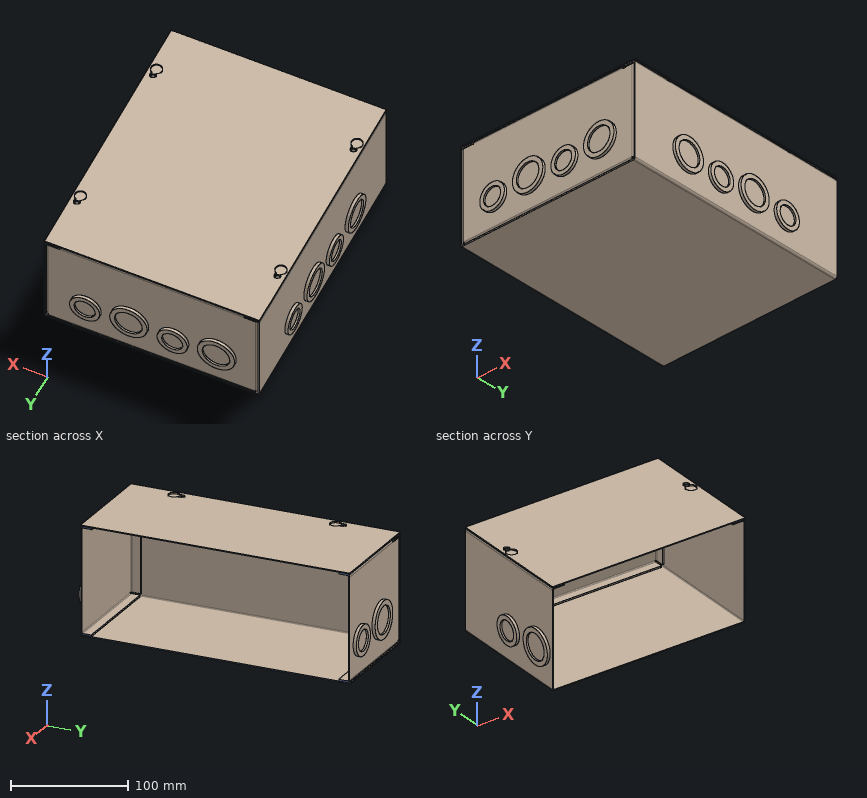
import cadquery as cq

BOX_WIDTH = 203.3
BOX_LENGTH = 254.0
SHEET = 1.5
COVER_THICKNESS = 1.3
WRAPPER_HEIGHT = 101.6
CUT_MARGIN = 2.5

WRAPPER_BEND = 2.2
TOP_FLANGE = 13.0

PANEL_BEND = 2.3
PANEL_FLANGE = 10.5
NOTCH_GAP = 1.5
NOTCH_DEPTH = 2.5

OVERALL_LENGTH = 260.0
KNOCKOUT_HEIGHT = (OVERALL_LENGTH - BOX_LENGTH) / 2
KNOCKOUT_RECESS = 1.8
KNOCKOUT_PITCH = 41.3
SMALL_OUTER_RADIUS = 14.3
SMALL_INNER_RADIUS = 10.0
LARGE_OUTER_RADIUS = 17.7
LARGE_INNER_RADIUS = 13.0
SIDE_KNOCKOUT_BASE = 17.7
END_KNOCKOUT_BASE = 19.2

FIXING_INSET = 7.0
FIXING_X = BOX_WIDTH / 2 - FIXING_INSET
FIXING_Y = 76.2
SCREW_HOLE_RADIUS = 2.0
KEYHOLE_SLOT_RADIUS = 2.9
KEYHOLE_HEAD_RADIUS = 5.2
KEYHOLE_OFFSET = 7.0

FIXING_POINTS = [(x, y) for x in (-FIXING_X, FIXING_X) for y in (-FIXING_Y, FIXING_Y)]


def make_knockouts(face, base_height):
    """Discs in the order small, large, small, large along the face's local X; local Y is up."""
    sizes = [(SMALL_OUTER_RADIUS, SMALL_INNER_RADIUS), (LARGE_OUTER_RADIUS, LARGE_INNER_RADIUS)] * 2
    middle = (len(sizes) - 1) / 2
    knockouts = cq.Workplane(face)
    for index, (outer_radius, inner_radius) in enumerate(sizes):
        spot = cq.Workplane(face).center((index - middle) * KNOCKOUT_PITCH, base_height + outer_radius)
        disc = spot.circle(outer_radius).extrude(KNOCKOUT_HEIGHT)
        recess = (
            spot.workplane(offset=KNOCKOUT_HEIGHT - KNOCKOUT_RECESS)
            .circle(inner_radius)
            .extrude(KNOCKOUT_RECESS)
        )
        knockouts = knockouts.add(disc.cut(recess))
    return knockouts.combine()


def centred_block(width, height, base_height):
    """Block over the whole box length, standing on base_height."""
    return (
        cq.Workplane("XY", origin=(0, 0, base_height))
        .box(width, BOX_LENGTH, height, centered=(True, True, False))
    )


def make_wrapper():
    inner_bend = WRAPPER_BEND - SHEET
    outside = centred_block(BOX_WIDTH, WRAPPER_HEIGHT, 0).edges("|Y").fillet(WRAPPER_BEND)
    inside = (
        centred_block(BOX_WIDTH - 2 * SHEET, WRAPPER_HEIGHT - 2 * SHEET, SHEET)
        .edges("|Y")
        .fillet(inner_bend)
    )
    opening = centred_block(BOX_WIDTH - 2 * TOP_FLANGE, WRAPPER_HEIGHT, WRAPPER_HEIGHT / 2)
    wrapper = outside.cut(inside).cut(opening)

    screw_holes = (
        cq.Workplane("XY", origin=(0, 0, WRAPPER_HEIGHT - SHEET - CUT_MARGIN))
        .pushPoints(FIXING_POINTS)
        .circle(SCREW_HOLE_RADIUS)
        .extrude(SHEET + 2 * CUT_MARGIN)
    )
    wrapper = wrapper.cut(screw_holes)

    left_wall = cq.Plane(origin=(-BOX_WIDTH / 2, 0, 0), xDir=(0, -1, 0), normal=(-1, 0, 0))
    left_knockouts = make_knockouts(left_wall, SIDE_KNOCKOUT_BASE)
    return wrapper.union(left_knockouts).union(left_knockouts.mirror("YZ"))


def corner_cutter(side, width, height, base_height):
    """Block reaching inwards by width from the inner face of one side wall, at the -Y end."""
    centre_x = side * (BOX_WIDTH / 2 - SHEET - width / 2)
    return (
        cq.Workplane("XY", origin=(centre_x, -BOX_LENGTH / 2, base_height))
        .box(width, PANEL_FLANGE, height, centered=(True, False, False))
    )


def make_end_panel():
    """Panel at the -Y end, with its outer face level with the wrapper's edge."""
    width = BOX_WIDTH - 2 * SHEET
    height = WRAPPER_HEIGHT - SHEET
    front = -BOX_LENGTH / 2
    base = cq.Workplane("XY", origin=(0, front, SHEET))

    pan = (
        base.box(width, PANEL_FLANGE, height, centered=(True, False, False))
        .faces("<Y")
        .edges()
        .fillet(PANEL_BEND)
    )
    hollow = (
        cq.Workplane("XY", origin=(0, front + SHEET, 2 * SHEET))
        .box(width - 2 * SHEET, PANEL_FLANGE, height - 2 * SHEET, centered=(True, False, False))
        .faces("<Y")
        .edges()
        .fillet(PANEL_BEND - SHEET)
    )
    panel = pan.cut(hollow)

    for side in (-1, 1):
        panel = panel.cut(corner_cutter(side, PANEL_BEND, SHEET + PANEL_BEND, 0))

    notch_width = TOP_FLANGE + NOTCH_GAP - SHEET
    notch_base = WRAPPER_HEIGHT - NOTCH_DEPTH
    for side in (-1, 1):
        panel = panel.cut(corner_cutter(side, notch_width, NOTCH_DEPTH, notch_base))

    face = cq.Plane(origin=(0, front, 0), xDir=(1, 0, 0), normal=(0, -1, 0))
    return panel.union(make_knockouts(face, END_KNOCKOUT_BASE))


def make_cover():
    head_points = [(x, y - KEYHOLE_OFFSET) for x, y in FIXING_POINTS]
    cover = centred_block(BOX_WIDTH, COVER_THICKNESS, WRAPPER_HEIGHT)
    sketch = cq.Workplane("XY", origin=(0, 0, WRAPPER_HEIGHT))
    slots = sketch.pushPoints(FIXING_POINTS).circle(KEYHOLE_SLOT_RADIUS).extrude(COVER_THICKNESS)
    heads = sketch.pushPoints(head_points).circle(KEYHOLE_HEAD_RADIUS).extrude(COVER_THICKNESS)
    return cover.cut(slots).cut(heads)


wrapper = make_wrapper()
cover = make_cover()
end_panel = make_end_panel()
end_panels = [end_panel.rotate((0, 0, 0), (0, 0, 1), angle) for angle in (0, 180)]

result = cq.Compound.makeCompound(
    [wrapper.val(), cover.val(), *[panel.val() for panel in end_panels]]
)